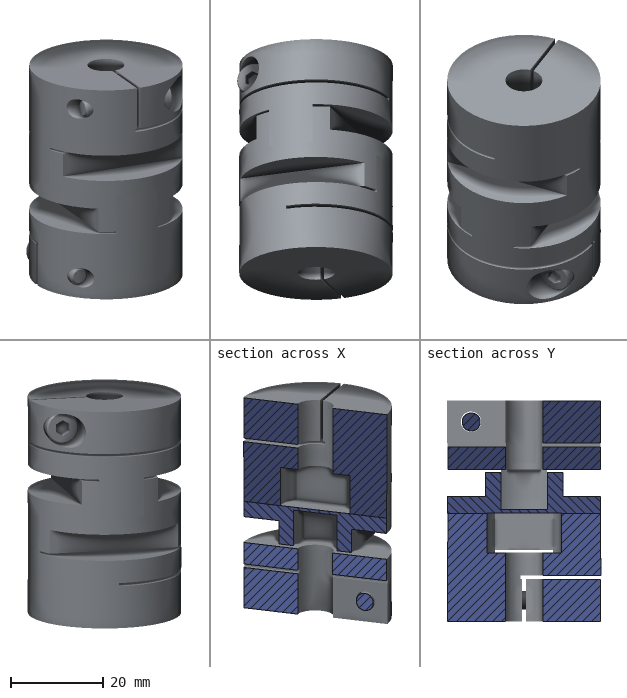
import cadquery as cq
import math


coupling_dia = 33.3
coupling_length = 48.0
radius = coupling_dia / 2
mid_height = coupling_length / 2

hub_height = 15.0
bore_dia = 8.0
tongue_width = 10.0
tongue_height = 8.6
tongue_relief_dia = 16.0
clamp_height = 9.3
flexure_gap = 0.7
flexure_overrun = 0.8
slit_width = 0.8

screw_offset = 11.5
screw_height = clamp_height / 2
shank_dia = 4.0
shank_length = 16.0
tip_chamfer = 0.5
head_dia = 7.0
head_height = 4.0
head_chamfer = 0.3
socket_flats = 3.0
socket_depth = 2.0
socket_cone_depth = 0.9
seat_x = -5.0
clearance_dia = 4.4
counterbore_dia = 7.5

hub_clearance = 0.5
disc_core_height = 6.4
arms_outer_width = 17.0

web_thickness = coupling_length - 2 * (hub_height + tongue_height)


def cylinder(diameter, bottom, top):
    """Upright cylinder on the shaft axis."""
    return cq.Workplane("XY").workplane(offset=bottom).circle(diameter / 2).extrude(top - bottom)


def block(x_range, y_range, z_range):
    """Box spanning the given (low, high) ranges."""
    ranges = (x_range, y_range, z_range)
    size = [high - low for low, high in ranges]
    corner = [low for low, high in ranges]
    return cq.Workplane("XY").box(*size, centered=False).translate(tuple(corner))


def long_bar(width, z_range):
    """Bar along X, centred on the shaft axis and reaching past the round on both sides."""
    return block((-coupling_dia, coupling_dia), (-width / 2, width / 2), z_range)


def screw_plane(x):
    """Workplane across the screw axis at the given X, facing +X."""
    return cq.Workplane("YZ", origin=(x, -screw_offset, screw_height))


def make_screw():
    head_x = seat_x - head_height
    head = screw_plane(head_x).circle(head_dia / 2).extrude(head_height)
    head = head.faces("<X").chamfer(head_chamfer)
    shank = screw_plane(seat_x).circle(shank_dia / 2).extrude(shank_length)
    shank = shank.faces(">X").chamfer(tip_chamfer)

    socket_corners = socket_flats / math.cos(math.pi / 6)
    hexagon = (
        screw_plane(head_x)
        .transformed(rotate=(0, 0, 90))
        .polygon(6, socket_corners)
        .extrude(socket_depth + socket_cone_depth)
    )
    drill_profile = [
        (0, 0),
        (0, socket_corners / 2),
        (socket_depth, socket_corners / 2),
        (socket_depth + socket_cone_depth, 0),
    ]
    drill = (
        cq.Workplane("XY", origin=(head_x, -screw_offset, screw_height))
        .polyline(drill_profile)
        .close()
        .revolve(360, (0, 0, 0), (1, 0, 0))
    )
    return head.union(shank).cut(hexagon.intersect(drill))


def make_hub():
    """Lower hub: tongue along X, clamp slit towards -Y, screw head towards -X."""
    tongue_top = hub_height + tongue_height
    body = cylinder(coupling_dia, 0, hub_height)

    tongue = long_bar(tongue_width, (hub_height, tongue_top))
    tongue = tongue.intersect(cylinder(coupling_dia, hub_height, tongue_top))
    tongue = tongue.cut(cylinder(tongue_relief_dia, hub_height, tongue_top))
    body = body.union(tongue)

    flexure_top = clamp_height + flexure_gap
    body = body.cut(cylinder(bore_dia, 0, hub_height))
    body = body.cut(block((-slit_width / 2, slit_width / 2), (-radius, 0), (0, clamp_height)))
    body = body.cut(block((-radius, flexure_overrun), (-radius, radius), (clamp_height, flexure_top)))

    body = body.cut(screw_plane(-radius).circle(clearance_dia / 2).extrude(coupling_dia))
    body = body.cut(screw_plane(-radius).circle(counterbore_dia / 2).extrude(seat_x + radius))

    return body.union(make_screw())


def turn_over(body):
    """Turn a body end for end about the mid-height diagonal that swaps X and Y."""
    return body.rotate((0, 0, mid_height), (1, -1, mid_height), 180)


def make_disc():
    arm_bottom = hub_height + hub_clearance
    core_bottom = mid_height - disc_core_height / 2
    slot_floor = mid_height - web_thickness / 2
    disc = cylinder(coupling_dia, arm_bottom, coupling_length - arm_bottom)

    slot = long_bar(tongue_width, (arm_bottom, slot_floor))
    full_width = long_bar(2 * coupling_dia, (arm_bottom, core_bottom))
    flats = full_width.cut(long_bar(arms_outer_width, (arm_bottom, core_bottom)))

    for cutter in (slot, flats):
        disc = disc.cut(cutter).cut(turn_over(cutter))
    return disc


lower_hub = make_hub()
upper_hub = turn_over(lower_hub)
disc = make_disc()

bodies = [lower_hub, disc, upper_hub]
result = cq.Compound.makeCompound([body.solids().val() for body in bodies])